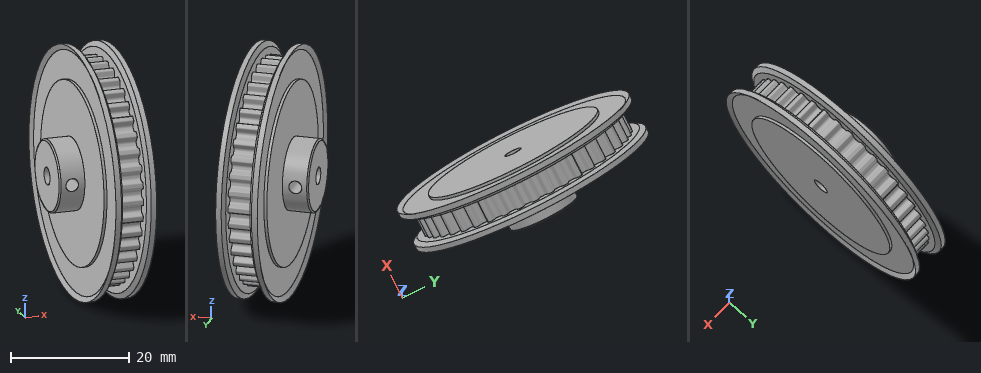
import cadquery as cq
import math


flange_radius = 22.0
flare_start_radius = 21.05
sheet_thickness = 1.0
flare_offset = 0.55
flange_depth = sheet_thickness + flare_offset

tooth_count = 42
tooth_width = 4.25
tip_radius = 19.65
tooth_depth = 1.15
root_radius = tip_radius - tooth_depth
root_flat = 0.3
root_fillet = 0.55
tip_fillet = 0.25
flank_angle = math.radians(24)

shoulder_radius = 16.0
shoulder_proud = flare_offset
shoulder_length = sheet_thickness + shoulder_proud

hub_radius = 6.35
hub_length = 4.55
hub_chamfer = 0.25
bore_diameter = 3.0
screw_hole_diameter = 2.25
screw_hole_x = -hub_length / 2

ring_start = flange_depth
ring_end = ring_start + tooth_width
core_start = ring_start - shoulder_length
core_end = ring_end + shoulder_length


def half_groove():
    """Named (sideways, radial) points of half a tooth groove, from its floor out to the tooth tip."""
    side, rise = math.cos(flank_angle), math.sin(flank_angle)
    half_turn = (math.pi / 2 - flank_angle) / 2
    root_flat_half = root_flat / 2

    floor_center_radial = root_radius + root_fillet
    floor_mid = (
        root_flat_half + root_fillet * math.sin(half_turn),
        floor_center_radial - root_fillet * math.cos(half_turn),
    )
    flank_bottom = (root_flat_half + root_fillet * side, floor_center_radial - root_fillet * rise)

    tip_center_radius = tip_radius - tip_fillet
    start_side = flank_bottom[0] + tip_fillet * side
    start_radial = flank_bottom[1] - tip_fillet * rise
    along = start_side * rise + start_radial * side
    excess = start_side**2 + start_radial**2 - tip_center_radius**2
    flank_length = math.sqrt(along**2 - excess) - along
    tip_center = (start_side + flank_length * rise, start_radial + flank_length * side)
    flank_top = (tip_center[0] - tip_fillet * side, tip_center[1] + tip_fillet * rise)

    tip_direction = math.atan2(tip_center[1], tip_center[0])
    flank_direction = math.pi - flank_angle
    mid_direction = (tip_direction + flank_direction) / 2
    tip_mid = (
        tip_center[0] + tip_fillet * math.cos(mid_direction),
        tip_center[1] + tip_fillet * math.sin(mid_direction),
    )
    tip_edge = (tip_radius * math.cos(tip_direction), tip_radius * math.sin(tip_direction))
    return {
        "floor_edge": (root_flat_half, root_radius),
        "floor_mid": floor_mid,
        "flank_bottom": flank_bottom,
        "flank_top": flank_top,
        "tip_mid": tip_mid,
        "tip_edge": tip_edge,
    }


def toothed_ring():
    """Ring of teeth with one groove centred on +Z, so a tooth is centred on -Y."""
    half = half_groove()
    pitch_angle = 2 * math.pi / tooth_count

    def place(point, angle, mirror=1):
        """Turn a groove point about X by angle, on the mirrored side when mirror is -1."""
        side, radial = mirror * point[0], point[1]
        return (
            side * math.cos(angle) + radial * math.sin(angle),
            radial * math.cos(angle) - side * math.sin(angle),
        )

    outline = cq.Workplane("YZ", origin=(ring_start, 0, 0)).moveTo(*place(half["tip_edge"], 0, -1))
    for index in range(tooth_count):
        angle = index * pitch_angle
        left = {name: place(point, angle, -1) for name, point in half.items()}
        right = {name: place(point, angle) for name, point in half.items()}
        next_tooth_end = place(half["tip_edge"], angle + pitch_angle, -1)
        tip_middle = place((0, tip_radius), angle + pitch_angle / 2)
        outline = (
            outline.threePointArc(left["tip_mid"], left["flank_top"])
            .lineTo(*left["flank_bottom"])
            .threePointArc(left["floor_mid"], left["floor_edge"])
            .lineTo(*right["floor_edge"])
            .threePointArc(right["floor_mid"], right["flank_bottom"])
            .lineTo(*right["flank_top"])
            .threePointArc(right["tip_mid"], right["tip_edge"])
            .threePointArc(tip_middle, next_tooth_end)
        )
    return outline.close().extrude(tooth_width)


def disc(radius, start, end):
    """Solid cylinder on the X axis."""
    return cq.Workplane("YZ", origin=(start, 0, 0)).circle(radius).extrude(end - start)


def pulley_core():
    """Teeth, shoulders and hub in one piece, with the bore and the cross hole."""
    hub = disc(hub_radius, -hub_length, core_start).faces("<X").chamfer(hub_chamfer)
    shoulders = disc(shoulder_radius, core_start, core_end)
    bore = disc(bore_diameter / 2, -hub_length, core_end)
    screw_hole = (
        cq.Workplane("XZ", origin=(screw_hole_x, 0, 0))
        .circle(screw_hole_diameter / 2)
        .extrude(hub_radius, both=True)
    )
    return toothed_ring().union(shoulders).union(hub).cut(bore).cut(screw_hole)


def flange(inner_face, outward):
    """Dished flange lying against the teeth at inner_face; outward is -1 or +1 along X."""
    flat_outer = inner_face + outward * sheet_thickness
    rim_inner = inner_face + outward * flare_offset
    rim_outer = inner_face + outward * flange_depth
    section = [
        (inner_face, shoulder_radius),
        (inner_face, flare_start_radius),
        (rim_inner, flange_radius),
        (rim_outer, flange_radius),
        (flat_outer, flare_start_radius),
        (flat_outer, shoulder_radius),
    ]
    return cq.Workplane("XY").polyline(section).close().revolve(360, (0, 0, 0), (1, 0, 0))


core = pulley_core()
flanges = [flange(face, outward) for face, outward in ((ring_start, -1), (ring_end, 1))]

result = cq.Compound.makeCompound([core.val(), *[body.val() for body in flanges]])